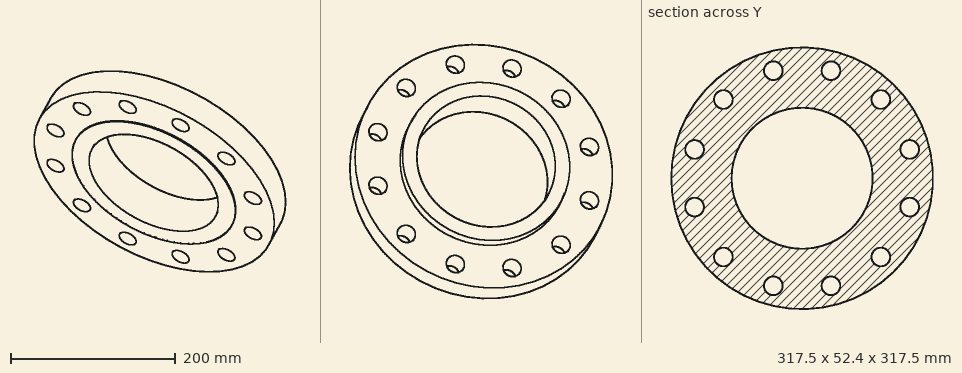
import cadquery as cq

flange_diameter = 317.5
raised_face_diameter = 215.9
hub_diameter = 206.25
bore_diameter = 170.69

total_length = 52.3875
raised_face_height = 1.5875
hub_height = 15.875
flange_thickness = total_length - raised_face_height - hub_height

bolt_count = 12
bolt_hole_diameter = 22.35
bolt_circle_diameter = 269.875
bolt_spacing_angle = 360 / bolt_count
first_bolt_angle = bolt_spacing_angle / 2


def along_y(start):
    """Workplane facing +Y at the given distance along the flange axis."""
    return cq.Workplane("XZ", origin=(0, start, 0)).transformed(rotate=(180, 0, 0))


def disc(diameter, start, length):
    """Solid cylinder on the flange axis, extending from start toward +Y."""
    return along_y(start).circle(diameter / 2).extrude(length)


def flange_body():
    """Raised face, bolting plate and hub stacked along the axis."""
    plate_start = raised_face_height
    hub_start = plate_start + flange_thickness
    raised_face = disc(raised_face_diameter, 0, raised_face_height)
    plate = disc(flange_diameter, plate_start, flange_thickness)
    hub = disc(hub_diameter, hub_start, hub_height)
    return raised_face.union(plate).union(hub)


def bolt_holes():
    """Cutters for the ring of through holes in the bolting plate."""
    return (
        along_y(0)
        .polarArray(bolt_circle_diameter / 2, first_bolt_angle, 360, bolt_count)
        .circle(bolt_hole_diameter / 2)
        .extrude(total_length)
    )


bore = disc(bore_diameter, 0, total_length)
result = flange_body().cut(bore).cut(bolt_holes())